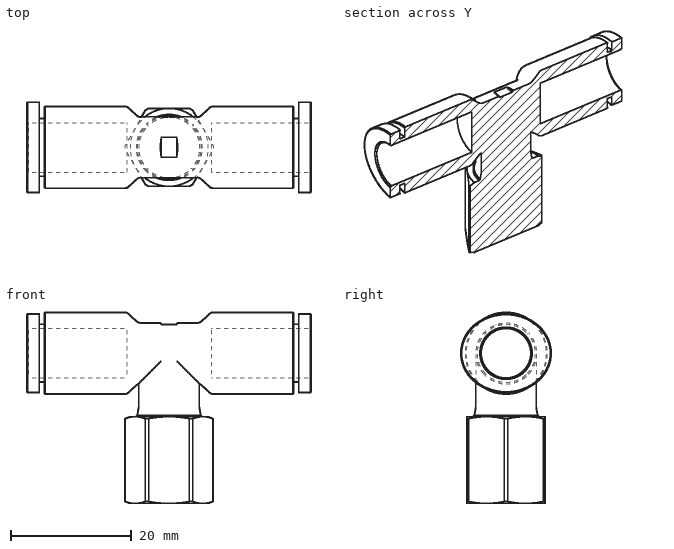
import cadquery as cq
import math

overall_length = 47.2
branch_end_depth = 24.9

waist_radius = 5.05
sleeve_radius = 6.8
sleeve_end = 20.65
sleeve_shoulder = 7.0
shoulder_angle = 42.5
sleeve_edge_chamfer = 0.15
shoulder_outer_fillet = 0.8
shoulder_inner_fillet = 0.8

collar_width = 15.0
collar_height = 13.07
collar_thickness = 2.1
collar_edge_chamfer = 0.15
neck_radius = 4.8

socket_radius = 4.1
socket_mouth_chamfer = 0.25
socket_depth = overall_length / 2 - sleeve_shoulder

stem_radius = waist_radius
flare_top_depth = 8.95
flare_bottom_depth = 10.3
flare_radius = 5.3
foot_radius = 5.48

nut_top_depth = 10.53
nut_across_flats = 13.0
nut_corner_diameter = 14.65
nut_face_radius = 6.45
nut_bevel_height = 0.35

flat_height = 4.75
flat_length = 2.5
flat_mouth_length = 2.9


def make_run():
    """Solid of revolution about X: sleeve, shoulder, waist, shoulder, sleeve."""
    shoulder_run = (sleeve_radius - waist_radius) / math.tan(math.radians(shoulder_angle))
    waist_end = sleeve_shoulder - shoulder_run
    rim_radius = sleeve_radius - sleeve_edge_chamfer
    half_profile = [
        (waist_end, waist_radius),
        (sleeve_shoulder, sleeve_radius),
        (sleeve_end - sleeve_edge_chamfer, sleeve_radius),
        (sleeve_end, rim_radius),
        (sleeve_end, 0),
    ]
    mirrored = [(-x, r) for x, r in reversed(half_profile)]
    run = (
        cq.Workplane("XY")
        .polyline(mirrored + half_profile)
        .close()
        .revolve(360, (0, 0, 0), (1, 0, 0))
    )
    for side in (-1, 1):
        outer_edge = cq.NearestToPointSelector((side * sleeve_shoulder, 0, 0))
        inner_edge = cq.NearestToPointSelector((side * waist_end, 0, 0))
        run = run.edges("%CIRCLE").edges(outer_edge).fillet(shoulder_outer_fillet)
        run = run.edges("%CIRCLE").edges(inner_edge).fillet(shoulder_inner_fillet)
    return run


def make_collar():
    """Oval collar and its round neck at the +X end of the run."""
    collar_start = overall_length / 2 - collar_thickness
    collar = (
        cq.Workplane("YZ", origin=(collar_start, 0, 0))
        .ellipse(collar_width / 2, collar_height / 2)
        .extrude(collar_thickness)
        .faces(">X")
        .edges()
        .chamfer(collar_edge_chamfer)
    )
    neck = cq.Workplane("YZ", origin=(sleeve_end, 0, 0)).circle(neck_radius)
    return collar.union(neck.extrude(collar_start - sleeve_end))


def make_socket():
    """Blind tube bore with a chamfered mouth, open at the +X end."""
    mouth = overall_length / 2
    bottom = mouth - socket_depth
    return (
        cq.Workplane("XY")
        .moveTo(bottom, 0)
        .lineTo(bottom, socket_radius)
        .lineTo(mouth - socket_mouth_chamfer, socket_radius)
        .lineTo(mouth, socket_radius + socket_mouth_chamfer)
        .lineTo(mouth, 0)
        .close()
        .revolve(360, (0, 0, 0), (1, 0, 0))
    )


def make_stem():
    """Round stem with a flared foot that stands on the nut."""
    return (
        cq.Workplane("XZ")
        .moveTo(0, 0)
        .lineTo(stem_radius, 0)
        .lineTo(stem_radius, -flare_top_depth)
        .lineTo(flare_radius, -flare_bottom_depth)
        .lineTo(foot_radius, -nut_top_depth)
        .lineTo(0, -nut_top_depth)
        .close()
        .revolve(360, (0, 0, 0), (0, 1, 0))
    )


def make_nut():
    """Hexagon with corners on +X and -X, rounded and bevelled at both ends."""
    corner_radius = nut_corner_diameter / 2
    hexagon = (
        cq.Workplane("XY", origin=(0, 0, -branch_end_depth))
        .polygon(6, nut_across_flats / math.cos(math.pi / 6))
        .extrude(branch_end_depth - nut_top_depth)
    )
    turned_blank = (
        cq.Workplane("XZ")
        .moveTo(0, -nut_top_depth)
        .lineTo(nut_face_radius, -nut_top_depth)
        .lineTo(corner_radius, -nut_top_depth - nut_bevel_height)
        .lineTo(corner_radius, -branch_end_depth + nut_bevel_height)
        .lineTo(nut_face_radius, -branch_end_depth)
        .lineTo(0, -branch_end_depth)
        .close()
        .revolve(360, (0, 0, 0), (0, 1, 0))
    )
    return hexagon.intersect(turned_blank)


def make_flat_cutter():
    """Wedge-sided block that mills the small flat across the top of the waist."""
    return (
        cq.Workplane("XZ")
        .moveTo(-flat_length / 2, flat_height)
        .lineTo(flat_length / 2, flat_height)
        .lineTo(flat_mouth_length / 2, waist_radius)
        .lineTo(-flat_mouth_length / 2, waist_radius)
        .close()
        .extrude(waist_radius, both=True)
    )


collar = make_collar()
socket = make_socket()

result = make_run().union(make_stem()).union(make_nut())
result = result.union(collar).union(collar.mirror("YZ"))
result = result.cut(socket).cut(socket.mirror("YZ"))
result = result.cut(make_flat_cutter())